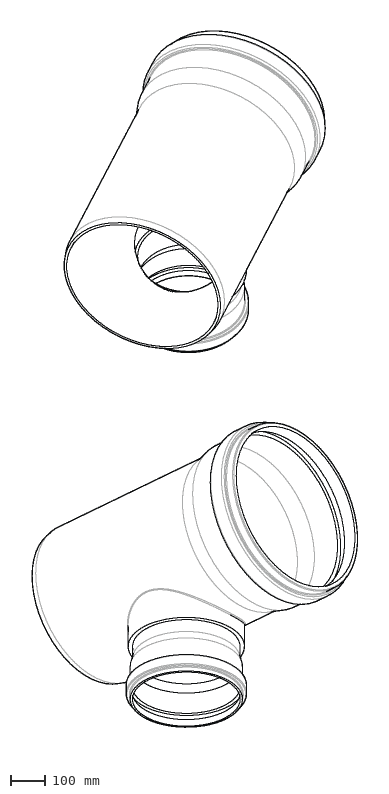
import cadquery as cq

PIPE_LENGTH = 840.0
PIPE_OD = 500.0
PIPE_BORE = 474.0
SPIGOT_CHAMFER_LENGTH = 20.0
SPIGOT_CHAMFER_DEPTH = 5.0

MAIN_SOCKET_OD = 528.0
MAIN_SOCKET_BORE = 502.0
MAIN_FLARE_START = 619.0
MAIN_FLARE_END = 674.5
MAIN_BEAD_OD = 555.0
MAIN_GROOVE_D = 529.0
MAIN_BEAD_START = 756.0
MAIN_BEAD_END = 811.0
MAIN_BEAD_FILLET = 6.0
MAIN_MOUTH_FILLET = 2.5
BEAD_ROOT_FILLET = 2.5

BRANCH_Y = 394.0
COLLAR_OD = 342.0
COLLAR_END = 296.0
COLLAR_ROOT_FILLET = 3.0
BRANCH_OD = 316.0
BRANCH_BORE = 298.0
BRANCH_START = 240.0
BRANCH_FLARE_START = 336.0
BRANCH_FLARE_END = 362.0
BRANCH_SOCKET_OD = 330.0
BRANCH_SOCKET_BORE = 317.0
BRANCH_BEAD_OD = 354.5
BRANCH_GROOVE_D = 341.0
BRANCH_BEAD_START = 424.0
BRANCH_BEAD_END = 459.0
BRANCH_BEAD_FILLET = 2.5
TOTAL_HEIGHT = 752.0
BRANCH_END = TOTAL_HEIGHT - MAIN_BEAD_OD / 2


def revolve_profile(stations):
    """Solid of revolution about Y from (diameter, distance along Y) stations."""
    outline = [(diameter / 2, distance) for diameter, distance in stations]
    axis_points = [(0, stations[-1][1]), (0, stations[0][1])]
    profile = cq.Workplane("XY").polyline(outline + axis_points).close()
    return profile.revolve(360, (0, 0, 0), (0, 1, 0))


def bead(outer_d, start, end, fillet):
    """Raised seal ring with rounded outer corners."""
    ring = revolve_profile([(outer_d, start), (outer_d, end)])
    return ring.edges("%CIRCLE").fillet(fillet)


def add_bead(body, body_d, outer_d, start, end, fillet):
    """Add a bead to a body and blend its two root circles into the body."""
    beaded = body.union(bead(outer_d, start, end, fillet))
    radius = body_d / 2
    margin = BEAD_ROOT_FILLET / 2
    root_zone = cq.selectors.BoxSelector(
        (-radius - margin, start - margin, -radius - margin),
        (radius + margin, end + margin, radius + margin),
        boundingbox=True,
    )
    return beaded.edges(root_zone).edges("%CIRCLE").fillet(BEAD_ROOT_FILLET)


def seal_groove(groove_d, bead_start, bead_end, wall):
    """Space for the seal inside a bead, leaving one wall thickness at each end."""
    return revolve_profile([(groove_d, bead_start + wall), (groove_d, bead_end - wall)])


def down_from_main_axis(shape):
    """Turn a shape built along Y so that it runs down the branch axis."""
    return shape.rotate((0, 0, 0), (1, 0, 0), -90).translate((0, BRANCH_Y, 0))


def make_main_pipe():
    """Main pipe with a flared socket and a side collar that receives the branch."""
    outside = revolve_profile([
        (PIPE_OD - 2 * SPIGOT_CHAMFER_DEPTH, 0),
        (PIPE_OD, SPIGOT_CHAMFER_LENGTH),
        (PIPE_OD, MAIN_FLARE_START),
        (MAIN_SOCKET_OD, MAIN_FLARE_END),
        (MAIN_SOCKET_OD, PIPE_LENGTH),
    ])
    outside = outside.faces(">Y").edges().fillet(MAIN_MOUTH_FILLET)
    outside = add_bead(
        outside, MAIN_SOCKET_OD, MAIN_BEAD_OD, MAIN_BEAD_START, MAIN_BEAD_END, MAIN_BEAD_FILLET
    )

    collar = revolve_profile([(COLLAR_OD, 0), (COLLAR_OD, COLLAR_END)])
    collar_bore = revolve_profile([(BRANCH_OD, 0), (BRANCH_OD, COLLAR_END)])

    inside = revolve_profile([
        (PIPE_BORE, 0),
        (PIPE_BORE, MAIN_FLARE_START),
        (MAIN_SOCKET_BORE, MAIN_FLARE_END),
        (MAIN_SOCKET_BORE, PIPE_LENGTH),
    ])
    wall = (MAIN_BEAD_OD - MAIN_GROOVE_D) / 2
    groove = seal_groove(MAIN_GROOVE_D, MAIN_BEAD_START, MAIN_BEAD_END, wall)

    tee = outside.union(down_from_main_axis(collar))
    tee = tee.edges("%BSPLINE").fillet(COLLAR_ROOT_FILLET)

    return (
        tee.cut(inside)
        .cut(groove)
        .cut(down_from_main_axis(collar_bore))
    )


def make_branch_socket():
    """Branch pipe seated in the collar, with a flared socket at its lower end."""
    outside = revolve_profile([
        (BRANCH_OD, BRANCH_START),
        (BRANCH_OD, BRANCH_FLARE_START),
        (BRANCH_SOCKET_OD, BRANCH_FLARE_END),
        (BRANCH_SOCKET_OD, BRANCH_END),
    ])
    outside = add_bead(
        outside, BRANCH_SOCKET_OD, BRANCH_BEAD_OD, BRANCH_BEAD_START, BRANCH_BEAD_END, BRANCH_BEAD_FILLET
    )
    inside = revolve_profile([
        (BRANCH_BORE, BRANCH_START),
        (BRANCH_BORE, BRANCH_FLARE_START),
        (BRANCH_SOCKET_BORE, BRANCH_FLARE_END),
        (BRANCH_SOCKET_BORE, BRANCH_END),
    ])
    wall = (BRANCH_BEAD_OD - BRANCH_GROOVE_D) / 2
    groove = seal_groove(BRANCH_GROOVE_D, BRANCH_BEAD_START, BRANCH_BEAD_END, wall)
    return down_from_main_axis(outside.cut(inside).cut(groove))


main_pipe = make_main_pipe()
branch_socket = make_branch_socket()

result = cq.Compound.makeCompound([main_pipe.val(), branch_socket.val()])